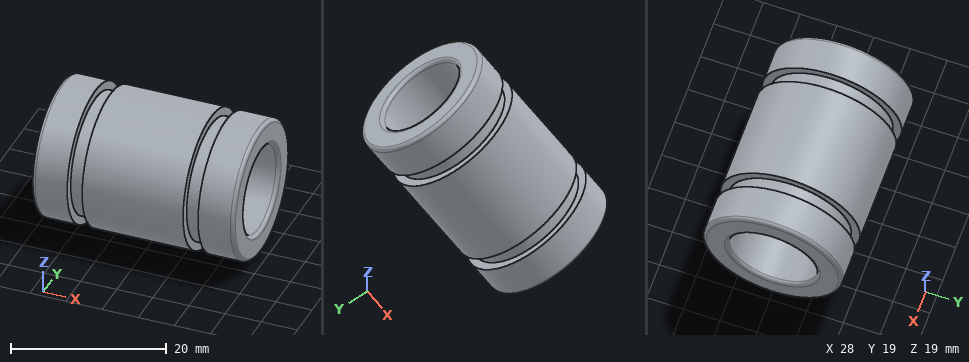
import cadquery as cq

length = 28.0
outer_diameter = 19.0
bore_diameter = 12.0
edge_radius = 0.5

groove_diameter = 16.6
groove_width = 2.07
groove_inner_spacing = 13.97


def tube(outside, inside, tube_length):
    """Tube along X, centred on the origin."""
    profile = cq.Workplane("YZ", origin=(-tube_length / 2, 0, 0)).circle(outside / 2).circle(inside / 2)
    return profile.extrude(tube_length)


sleeve = tube(outer_diameter, bore_diameter, length)
sleeve = sleeve.faces("<X or >X").edges().fillet(edge_radius)

groove_ring = tube(outer_diameter + groove_width, groove_diameter, groove_width)
groove_offset = (groove_inner_spacing + groove_width) / 2

result = sleeve
for side in (-1, 1):
    result = result.cut(groove_ring.translate((side * groove_offset, 0, 0)))